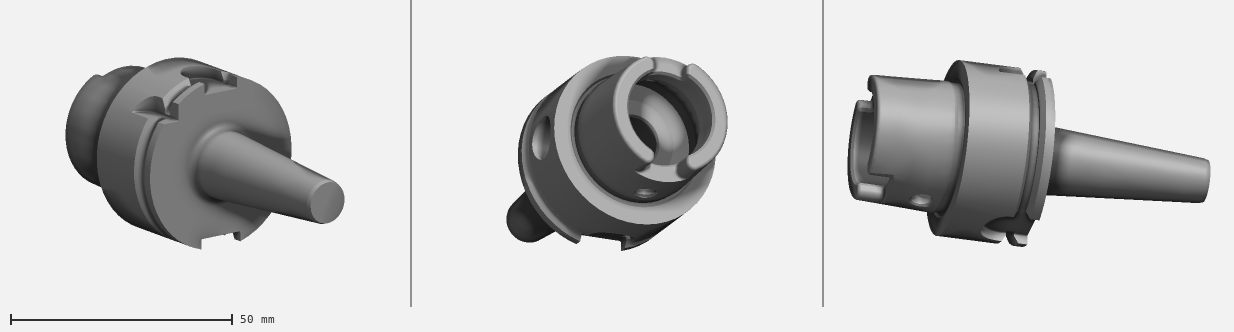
import cadquery as cq
import math

LENGTH = 79.9
BODY_RADIUS = 20.015
FACE_X = 19.9
FLANGE_END_X = 39.9

TIP_RADIUS = 14.2
TIP_ROUND = 0.8
TAPER_RADIUS = 15.0
TAPER_END_X = 17.8
NECK_RADIUS = 14.8
NECK_START_X = 18.5
RECESS_RADIUS = 16.0
RECESS_FLOOR_RADIUS = 15.5
RECESS_DEPTH = 0.5

GROOVE_FLOOR_RADIUS = 17.4
GROOVE_KINK_RADIUS = 18.3
GROOVE_START_X = 34.8
GROOVE_END_X = 36.75
FLANK_ANGLE = 30.0

NOSE_ROOT_RADIUS = 7.9
NOSE_ROOT_ROUND = 1.8
NOSE_END_RADIUS = 5.1
NOSE_CHAMFER_LENGTH = 0.95
NOSE_CHAMFER_HEIGHT = 0.3

BORE_RADIUS = 10.4
BORE_STRAIGHT_END_X = 7.6
UNDERCUT_RADIUS = 13.4
UNDERCUT_START_X = 16.45
UNDERCUT_END_X = 20.0
BORE_FLOOR_RADIUS = 9.75
BORE_FLOOR_X = 20.5
BORE_CHAMFER = 0.55
TOLERANCE = 0.01
SCREW_HOLE_RADIUS = 5.8
SCREW_HOLE_MOUTH_RADIUS = 6.3
SCREW_HOLE_END_X = 28.8
SCREW_HOLE_TIP_RADIUS = 5.1

DRIVE_HALF_WIDTH = 4.0
DRIVE_BASE_Z = 6.4
DRIVE_CORNER_RADIUS = 1.75
DRIVE_SHOULDER_Z = 12.9
DRIVE_FLOOR_ROUND = 0.6
DRIVE_DEPTH_TOP = 3.4
DRIVE_DEPTH_BOTTOM = 6.0

CROSS_HOLE_X = 13.8
CROSS_HOLE_RADIUS = 2.3
CROSS_HOLE_CHAMFER = 0.6

KEYWAY_START_X = 27.8
KEYWAY_FLOOR_Z = 16.85
KEYWAY_ROUND = 0.36
TOP_KEYWAY_HALF_WIDTH = 4.55
BOTTOM_KEYWAY_HALF_WIDTH = 5.5
NOTCH_WALL_Y = -12.0
NOTCH_FLOOR_Z = 12.0
NOTCH_RADIUS = 4.5

CHIP_X = 26.9
CHIP_RADIUS = 5.0
CHIP_DEPTH = 4.6


def revolve_about_x(profile):
    return profile.close().revolve(360, (0, 0, 0), (1, 0, 0))


def outer_body():
    flank_run = (BODY_RADIUS - GROOVE_KINK_RADIUS) * math.tan(math.radians(FLANK_ANGLE))
    root_x = FLANGE_END_X + NOSE_ROOT_ROUND
    root_middle = NOSE_ROOT_ROUND * (1 - math.sqrt(0.5))
    return revolve_about_x(
        cq.Workplane("XY")
        .lineTo(0, TIP_RADIUS)
        .lineTo(TAPER_END_X, TAPER_RADIUS)
        .lineTo(NECK_START_X, NECK_RADIUS)
        .lineTo(FACE_X + RECESS_DEPTH, NECK_RADIUS)
        .lineTo(FACE_X + RECESS_DEPTH, RECESS_FLOOR_RADIUS)
        .lineTo(FACE_X, RECESS_RADIUS)
        .lineTo(FACE_X, BODY_RADIUS)
        .lineTo(GROOVE_START_X - flank_run, BODY_RADIUS)
        .lineTo(GROOVE_START_X, GROOVE_KINK_RADIUS)
        .lineTo(GROOVE_START_X, GROOVE_FLOOR_RADIUS)
        .lineTo(GROOVE_END_X, GROOVE_FLOOR_RADIUS)
        .lineTo(GROOVE_END_X, GROOVE_KINK_RADIUS)
        .lineTo(GROOVE_END_X + flank_run, BODY_RADIUS)
        .lineTo(FLANGE_END_X, BODY_RADIUS)
        .lineTo(FLANGE_END_X, NOSE_ROOT_RADIUS + NOSE_ROOT_ROUND)
        .threePointArc(
            (FLANGE_END_X + root_middle, NOSE_ROOT_RADIUS + root_middle),
            (root_x, NOSE_ROOT_RADIUS),
        )
        .lineTo(LENGTH - NOSE_CHAMFER_LENGTH, NOSE_END_RADIUS)
        .lineTo(LENGTH, NOSE_END_RADIUS - NOSE_CHAMFER_HEIGHT)
        .lineTo(LENGTH, 0)
    )


def bore():
    mouth_chamfer = SCREW_HOLE_MOUTH_RADIUS - SCREW_HOLE_RADIUS
    tip_chamfer = SCREW_HOLE_RADIUS - SCREW_HOLE_TIP_RADIUS
    return revolve_about_x(
        cq.Workplane("XY")
        .lineTo(0, BORE_RADIUS)
        .lineTo(BORE_STRAIGHT_END_X, BORE_RADIUS)
        .lineTo(UNDERCUT_START_X, UNDERCUT_RADIUS)
        .lineTo(UNDERCUT_END_X, UNDERCUT_RADIUS)
        .lineTo(BORE_FLOOR_X, BORE_FLOOR_RADIUS)
        .lineTo(BORE_FLOOR_X, SCREW_HOLE_MOUTH_RADIUS)
        .lineTo(BORE_FLOOR_X + mouth_chamfer, SCREW_HOLE_RADIUS)
        .lineTo(SCREW_HOLE_END_X - tip_chamfer, SCREW_HOLE_RADIUS)
        .lineTo(SCREW_HOLE_END_X, SCREW_HOLE_TIP_RADIUS)
        .lineTo(SCREW_HOLE_END_X, 0)
    )


def drive_slot(depth):
    """Slot on +Z: parallel walls that flare outward in rounded shoulders."""
    arc_start_z = DRIVE_SHOULDER_Z - DRIVE_CORNER_RADIUS
    shoulder_y = DRIVE_HALF_WIDTH + DRIVE_CORNER_RADIUS
    arc_middle = DRIVE_CORNER_RADIUS * math.sqrt(0.5)
    middle_y = shoulder_y - arc_middle
    middle_z = arc_start_z + arc_middle
    return (
        cq.Workplane("YZ")
        .moveTo(-DRIVE_HALF_WIDTH, DRIVE_BASE_Z)
        .lineTo(DRIVE_HALF_WIDTH, DRIVE_BASE_Z)
        .lineTo(DRIVE_HALF_WIDTH, arc_start_z)
        .threePointArc((middle_y, middle_z), (shoulder_y, DRIVE_SHOULDER_Z))
        .lineTo(BODY_RADIUS, DRIVE_SHOULDER_Z)
        .lineTo(BODY_RADIUS, BODY_RADIUS)
        .lineTo(-BODY_RADIUS, BODY_RADIUS)
        .lineTo(-BODY_RADIUS, DRIVE_SHOULDER_Z)
        .lineTo(-shoulder_y, DRIVE_SHOULDER_Z)
        .threePointArc((-middle_y, middle_z), (-DRIVE_HALF_WIDTH, arc_start_z))
        .close()
        .extrude(depth)
        .faces(">X").edges().fillet(DRIVE_FLOOR_ROUND)
    )


def flange_slot(half_width, center_y, floor_z):
    """Slot open toward +Z and +X, with a round end and a rounded floor edge."""
    center_x = KEYWAY_START_X + half_width
    run_out = FLANGE_END_X + half_width - center_x
    return (
        cq.Workplane("XY", origin=(center_x, center_y, floor_z))
        .moveTo(0, half_width)
        .threePointArc((-half_width, 0), (0, -half_width))
        .lineTo(run_out, -half_width)
        .lineTo(run_out, half_width)
        .close()
        .extrude(BODY_RADIUS)
        .faces("<Z").edges().fillet(KEYWAY_ROUND)
    )


def upside_down(tool):
    return tool.rotate((0, 0, 0), (1, 0, 0), 180)


def cross_hole():
    hole = (
        cq.Workplane("XY", origin=(CROSS_HOLE_X, 0, 0))
        .circle(CROSS_HOLE_RADIUS)
        .extrude(BODY_RADIUS, both=True)
    )
    surface_z = TIP_RADIUS + (TAPER_RADIUS - TIP_RADIUS) * CROSS_HOLE_X / TAPER_END_X
    sink = (
        cq.Workplane("XY", origin=(CROSS_HOLE_X, 0, surface_z - CROSS_HOLE_CHAMFER))
        .circle(CROSS_HOLE_RADIUS)
        .workplane(offset=CROSS_HOLE_CHAMFER)
        .circle(CROSS_HOLE_RADIUS + CROSS_HOLE_CHAMFER)
        .loft()
    )
    return hole.union(sink).union(upside_down(sink))


def chip_pocket():
    return (
        cq.Workplane("XZ", origin=(CHIP_X, BODY_RADIUS, 0))
        .circle(CHIP_RADIUS)
        .extrude(CHIP_DEPTH)
    )


def is_bore_rim(edge):
    """True for edges around the open end of the bore, drive slots included."""
    ends = (edge.startPoint(), edge.endPoint())
    return all(
        abs(math.hypot(p.y, p.z) - BORE_RADIUS) < TOLERANCE and p.x < BORE_STRAIGHT_END_X - TOLERANCE
        for p in ends
    )


holder = (
    outer_body()
    .cut(drive_slot(DRIVE_DEPTH_TOP))
    .cut(upside_down(drive_slot(DRIVE_DEPTH_BOTTOM)))
    .faces("<X").edges().fillet(TIP_ROUND)
    .cut(bore())
)
bore_rim = [edge for edge in holder.edges().vals() if is_bore_rim(edge)]
holder = holder.newObject(bore_rim).chamfer(BORE_CHAMFER)

result = (
    holder
    .cut(cross_hole())
    .cut(flange_slot(TOP_KEYWAY_HALF_WIDTH, 0, KEYWAY_FLOOR_Z))
    .cut(upside_down(flange_slot(BOTTOM_KEYWAY_HALF_WIDTH, 0, KEYWAY_FLOOR_Z)))
    .cut(flange_slot(NOTCH_RADIUS, NOTCH_WALL_Y - NOTCH_RADIUS, NOTCH_FLOOR_Z))
    .cut(chip_pocket())
)